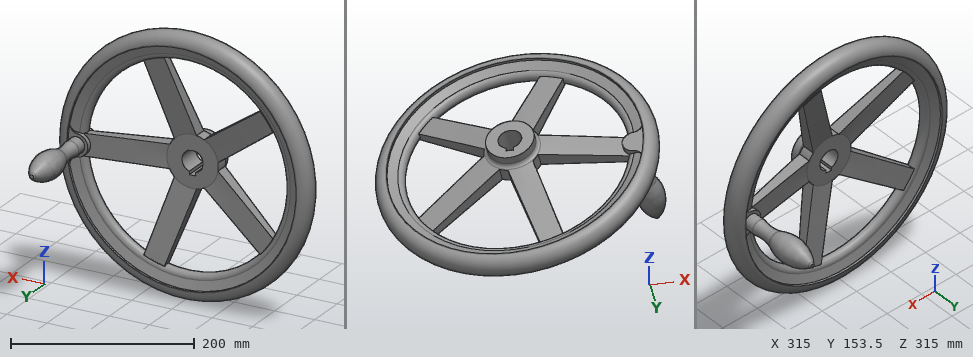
import cadquery as cq
import math


rim_outer_radius = 157.5
rim_thickness = 28.5
rim_crown_radius = 143.5
rim_inner_radius = 124.5
rim_lip_radius = 142.5
rim_lip_depth = 3.0
inner_round_radius = 7.0
inner_crown_radius = rim_inner_radius + inner_round_radius
rim_front = -rim_thickness / 2
rim_back = rim_thickness / 2
lip_floor = rim_back - rim_lip_depth

hub_radius = 27.0
hub_body_radius = 32.0
hub_flare_radius = 5.2
hub_projection = 27.3
hub_collar_length = 9.5
hub_front = rim_front - hub_projection
hub_length = 31.0
hub_back = hub_front + hub_length
bore_radius = 13.0
keyway_width = 8.0
keyway_reach = 16.3

spoke_count = 5
spoke_inner_radius = 20.0
spoke_outer_radius = 126.0
spoke_inner_width = 29.3
spoke_outer_width = 27.0
spoke_outer_back = 6.0
spoke_front_angle = math.radians(13.8)

flare_start = hub_front + hub_collar_length
flare_end_radius = hub_radius + hub_flare_radius * (1 - math.sin(spoke_front_angle))
flare_end = flare_start + hub_flare_radius * math.cos(spoke_front_angle)
spoke_outer_front = flare_end + (spoke_outer_radius - flare_end_radius) * math.tan(spoke_front_angle)

handle_offset = 132.0
boss_radius = 13.7
boss_flare_radius = 10.0
collar_radius = 10.0
collar_end = 10.5
neck_radius = 8.5
neck_position = 22.0
grip_start = 38.8
grip_start_radius = 10.9
grip_radius = 16.0
grip_position = 61.8
grip_end_radius = 4.0
grip_end = 95.5
overall_depth = 153.5
handle_length = overall_depth - hub_projection - rim_thickness
tip_flat_radius = 2.5


def make_rim():
    profile = (
        cq.Workplane("XY")
        .moveTo(rim_crown_radius, rim_front)
        .threePointArc((rim_outer_radius, 0), (rim_crown_radius, rim_back))
        .lineTo(rim_lip_radius, rim_back)
        .lineTo(rim_lip_radius, lip_floor)
        .lineTo(inner_crown_radius, inner_round_radius)
        .threePointArc((rim_inner_radius, 0), (inner_crown_radius, -inner_round_radius))
        .lineTo(rim_lip_radius, -lip_floor)
        .lineTo(rim_lip_radius, rim_front)
        .close()
    )
    return profile.revolve(360, (0, 0, 0), (0, 1, 0))


def make_spider_disc():
    """Hub and a full conical disc around it, before the gaps between the spokes are opened."""
    middle_angle = (math.pi / 2 - spoke_front_angle) / 2
    flare_middle = (
        hub_radius + hub_flare_radius * (1 - math.cos(middle_angle)),
        flare_start + hub_flare_radius * math.sin(middle_angle),
    )
    profile = (
        cq.Workplane("XY")
        .moveTo(0, hub_front)
        .lineTo(hub_radius, hub_front)
        .lineTo(hub_radius, flare_start)
        .threePointArc(flare_middle, (flare_end_radius, flare_end))
        .lineTo(spoke_outer_radius, spoke_outer_front)
        .lineTo(spoke_outer_radius, spoke_outer_back)
        .lineTo(hub_body_radius, hub_back)
        .lineTo(0, hub_back)
        .close()
    )
    return profile.revolve(360, (0, 0, 0), (0, 1, 0))


def make_spider_outline():
    """Prism over the round hub and the straight spokes, which taper outwards; one lies along +X."""
    depth = rim_back - hub_front
    spoke_points = [
        (spoke_inner_radius, -spoke_inner_width / 2),
        (spoke_outer_radius, -spoke_outer_width / 2),
        (spoke_outer_radius, spoke_outer_width / 2),
        (spoke_inner_radius, spoke_inner_width / 2),
    ]
    back_plane = cq.Workplane("XZ", origin=(0, rim_back, 0))
    spoke = back_plane.polyline(spoke_points).close().extrude(depth)
    outline = back_plane.circle(hub_body_radius).extrude(depth)
    for index in range(spoke_count):
        outline = outline.union(spoke.rotate((0, 0, 0), (0, 1, 0), index * 360 / spoke_count))
    return outline


def make_bore():
    depth = rim_back - hub_front
    back_plane = cq.Workplane("XZ", origin=(0, rim_back, 0))
    bore = back_plane.circle(bore_radius).extrude(depth)
    keyway = back_plane.center(0, -keyway_reach / 2).rect(keyway_width, keyway_reach).extrude(depth)
    return bore.union(keyway)


def make_boss():
    """Round pad under the handle that flares into the lip of the rim with concave arcs."""
    round_reach = boss_radius + boss_flare_radius
    lip_reach = rim_lip_radius - boss_flare_radius
    flare_x = (lip_reach**2 - round_reach**2 + handle_offset**2) / (2 * handle_offset)
    flare_z = math.sqrt(lip_reach**2 - flare_x**2)
    boss_blend = boss_radius / round_reach
    boss_x = handle_offset + (flare_x - handle_offset) * boss_blend
    boss_z = flare_z * boss_blend
    lip_x = flare_x * rim_lip_radius / lip_reach
    lip_z = flare_z * rim_lip_radius / lip_reach
    start_angle = math.atan2(boss_z - flare_z, boss_x - flare_x)
    end_angle = math.atan2(lip_z - flare_z, lip_x - flare_x)
    middle_angle = (start_angle + end_angle) / 2
    middle_x = flare_x + boss_flare_radius * math.cos(middle_angle)
    middle_z = flare_z + boss_flare_radius * math.sin(middle_angle)
    outline = (
        cq.Workplane("XZ", origin=(0, lip_floor, 0))
        .moveTo(boss_x, boss_z)
        .threePointArc((middle_x, middle_z), (lip_x, lip_z))
        .threePointArc((rim_lip_radius, 0), (lip_x, -lip_z))
        .threePointArc((middle_x, -middle_z), (boss_x, -boss_z))
        .threePointArc((handle_offset - boss_radius, 0), (boss_x, boss_z))
        .close()
    )
    return outline.extrude(2 * lip_floor)


def make_handle():
    profile = (
        cq.Workplane("XY", origin=(handle_offset, rim_back, 0))
        .moveTo(0, -rim_lip_depth)
        .lineTo(collar_radius, -rim_lip_depth)
        .lineTo(collar_radius, collar_end)
        .threePointArc((neck_radius, neck_position), (grip_start_radius, grip_start))
        .threePointArc((grip_radius, grip_position), (grip_end_radius, grip_end))
        .lineTo(tip_flat_radius, handle_length)
        .lineTo(0, handle_length)
        .close()
    )
    return profile.revolve(360, (0, 0, 0), (0, 1, 0))


spider = make_spider_disc().intersect(make_spider_outline())
wheel = make_rim().union(spider).cut(make_bore())
result = wheel.union(make_boss()).union(make_handle())